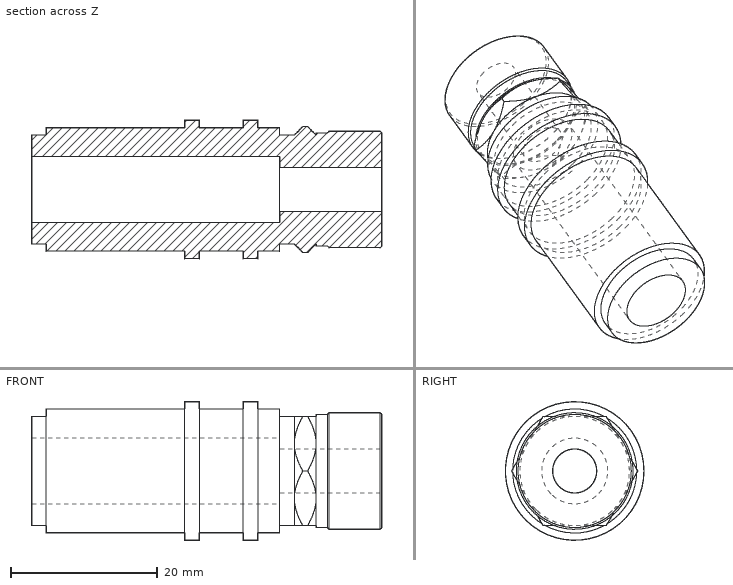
import cadquery as cq
import math

total_length = 48.0

neck_diameter = 15.0
body_diameter = 17.0
flange_diameter = 19.0
collar_diameter = 15.5
cap_diameter = 16.0
bore_diameter = 9.0
through_hole_diameter = 6.0

tip_end = 2.0
flange_width = 2.0
flange_starts = [21.0, 29.0]
body_end = 34.0
hex_start = 36.0
hex_end = 39.0
cap_start = 40.5
bore_depth = body_end

hex_across_flats = neck_diameter
hex_across_corners = hex_across_flats / math.cos(math.pi / 6)

cap_chamfer = (cap_diameter - collar_diameter) / 2
hex_chamfer = (hex_across_corners - hex_across_flats) / 2


def cylinder(diameter, start, end):
    """Solid cylinder on the X axis between two X positions."""
    return cq.Workplane("YZ", origin=(start, 0, 0)).circle(diameter / 2).extrude(end - start)


def hexagon():
    """Hexagonal wrench section whose corners are turned down at 45 degrees on both sides."""
    width = hex_end - hex_start
    prism = cq.Workplane("YZ", origin=(hex_start, 0, 0)).polygon(6, hex_across_corners).extrude(width)
    turned_blank = cylinder(hex_across_corners, hex_start, hex_end).edges("%CIRCLE").chamfer(hex_chamfer)
    return prism.intersect(turned_blank)


def cap():
    """Rear cap with both rims chamfered."""
    return cylinder(cap_diameter, cap_start, total_length).edges("%CIRCLE").chamfer(cap_chamfer)


result = cylinder(neck_diameter, 0, tip_end)
result = result.union(cylinder(body_diameter, tip_end, body_end))
for flange_start in flange_starts:
    result = result.union(cylinder(flange_diameter, flange_start, flange_start + flange_width))
result = result.union(cylinder(neck_diameter, body_end, hex_start))
result = result.union(hexagon())
result = result.union(cylinder(collar_diameter, hex_end, cap_start))
result = result.union(cap())

result = result.cut(cylinder(bore_diameter, 0, bore_depth))
result = result.cut(cylinder(through_hole_diameter, 0, total_length))